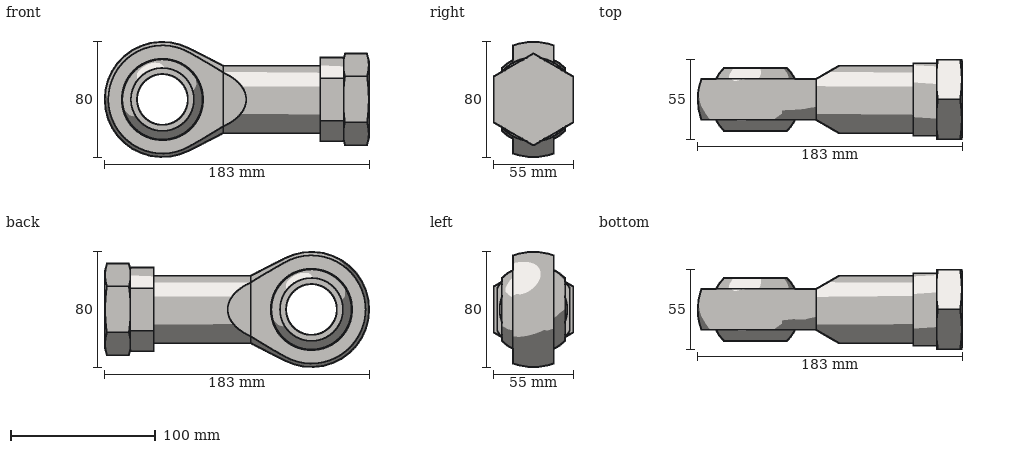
import cadquery as cq
import math

TOTAL_LENGTH = 183.0
EYE_DIAMETER = 80.0
EYE_WIDTH = 28.4
SHANK_DIAMETER = 46.8
NECK_END_X = 41.9
FLAT_SLOPE_ANGLE = 30.0
SLOPE_CLEARANCE = 3.7

BALL_WIDTH = 43.7
BALL_FACE_DIAMETER = 43.5
BALL_BORE_DIAMETER = 35.0
MOUTH_DIAMETER = 56.4
MOUTH_DEPTH = 0.5

COLLAR_DIAMETER = 58.2
COLLAR_LENGTH = 16.3
COLLAR_ACROSS_FLATS = 50.3
HEX_ACROSS_FLATS = 55.0
HEX_LENGTH = 17.8
HEX_INNER_FACE_DIAMETER = 56.2
HEX_OUTER_FACE_DIAMETER = 51.6
HEX_CHAMFER_ANGLE = 15.0

eye_radius = EYE_DIAMETER / 2
shank_radius = SHANK_DIAMETER / 2
ball_radius = math.hypot(BALL_WIDTH, BALL_FACE_DIAMETER) / 2
hex_end_x = TOTAL_LENGTH - eye_radius
hex_start_x = hex_end_x - HEX_LENGTH
collar_start_x = hex_start_x - COLLAR_LENGTH


def turned_ball(width):
    """Ball of the bearing radius, turned about Y and cut flat to the given width."""
    half_width = width / 2
    face_radius = math.sqrt(ball_radius**2 - half_width**2)
    return (
        cq.Workplane("XY")
        .moveTo(0, -half_width)
        .lineTo(face_radius, -half_width)
        .threePointArc((ball_radius, 0), (face_radius, half_width))
        .lineTo(0, half_width)
        .close()
        .revolve(360, (0, 0, 0), (0, 1, 0))
    )


def make_ball():
    """Spherical ball with two flat faces and a through bore along Y."""
    bore = cq.Workplane("XZ", origin=(0, BALL_WIDTH / 2, 0)).circle(BALL_BORE_DIAMETER / 2).extrude(BALL_WIDTH)
    return turned_ball(BALL_WIDTH).cut(bore)


def make_eye_and_shank():
    """Spherical eye, tangent neck cone and round shank, turned about X."""
    tangent_angle = math.atan2(shank_radius, NECK_END_X) + math.acos(
        eye_radius / math.hypot(NECK_END_X, shank_radius)
    )
    tangent_point = (eye_radius * math.cos(tangent_angle), eye_radius * math.sin(tangent_angle))
    arc_angle = (math.pi + tangent_angle) / 2
    arc_point = (eye_radius * math.cos(arc_angle), eye_radius * math.sin(arc_angle))
    return (
        cq.Workplane("XY")
        .moveTo(-eye_radius, 0)
        .threePointArc(arc_point, tangent_point)
        .lineTo(NECK_END_X, shank_radius)
        .lineTo(collar_start_x, shank_radius)
        .lineTo(collar_start_x, 0)
        .close()
        .revolve(360, (0, 0, 0), (1, 0, 0))
    )


def make_flats_envelope():
    """Prism that flattens the eye and slopes outward to clear the shank."""
    half_width = EYE_WIDTH / 2
    clear_half_width = shank_radius + SLOPE_CLEARANCE
    slope_length = (clear_half_width - half_width) / math.tan(math.radians(FLAT_SLOPE_ANGLE))
    clear_x = NECK_END_X + slope_length
    return (
        cq.Workplane("XY")
        .moveTo(-EYE_DIAMETER, -half_width)
        .lineTo(NECK_END_X, -half_width)
        .lineTo(clear_x, -clear_half_width)
        .lineTo(hex_end_x, -clear_half_width)
        .lineTo(hex_end_x, clear_half_width)
        .lineTo(clear_x, clear_half_width)
        .lineTo(NECK_END_X, half_width)
        .lineTo(-EYE_DIAMETER, half_width)
        .close()
        .extrude(EYE_DIAMETER, both=True)
    )


def make_socket():
    """Spherical seat for the ball with a shallow round relief at each mouth."""
    socket = turned_ball(EYE_WIDTH)
    mouth = cq.Workplane("XZ").circle(MOUTH_DIAMETER / 2).extrude(MOUTH_DEPTH)
    front_mouth = mouth.translate((0, MOUTH_DEPTH - EYE_WIDTH / 2, 0))
    return socket.union(front_mouth).union(front_mouth.mirror("XZ"))


def make_collar():
    """Round collar with two flats facing -Y and +Y."""
    flats = cq.Workplane("XY").box(COLLAR_LENGTH, COLLAR_ACROSS_FLATS, COLLAR_DIAMETER)
    flats = flats.translate((collar_start_x + COLLAR_LENGTH / 2, 0, 0))
    collar = cq.Workplane("YZ", origin=(collar_start_x, 0, 0)).circle(COLLAR_DIAMETER / 2)
    return collar.extrude(COLLAR_LENGTH).intersect(flats)


def make_hexagon():
    """Hexagon with corners on Z and conical chamfers at both ends."""
    corner_diameter = HEX_ACROSS_FLATS / math.cos(math.pi / 6)
    corner_radius = corner_diameter / 2
    inner_radius = HEX_INNER_FACE_DIAMETER / 2
    outer_radius = HEX_OUTER_FACE_DIAMETER / 2
    chamfer_slope = math.tan(math.radians(HEX_CHAMFER_ANGLE))
    inner_chamfer = (corner_radius - inner_radius) * chamfer_slope
    outer_chamfer = (corner_radius - outer_radius) * chamfer_slope
    hexagon = (
        cq.Workplane("YZ", origin=(hex_start_x, 0, 0))
        .transformed(rotate=(0, 0, 90))
        .polygon(6, corner_diameter)
        .extrude(HEX_LENGTH)
    )
    chamfer_envelope = (
        cq.Workplane("XY")
        .moveTo(hex_start_x, 0)
        .lineTo(hex_start_x, inner_radius)
        .lineTo(hex_start_x + inner_chamfer, corner_radius)
        .lineTo(hex_end_x - outer_chamfer, corner_radius)
        .lineTo(hex_end_x, outer_radius)
        .lineTo(hex_end_x, 0)
        .close()
        .revolve(360, (0, 0, 0), (1, 0, 0))
    )
    return hexagon.intersect(chamfer_envelope)


def make_housing():
    """Rod end housing: flattened eye, shank, collar and hexagon in one solid."""
    housing = make_eye_and_shank().intersect(make_flats_envelope())
    housing = housing.union(make_collar()).union(make_hexagon())
    return housing.cut(make_socket())


housing = make_housing()
ball = make_ball()

result = cq.Compound.makeCompound([housing.solids().val(), ball.solids().val()])